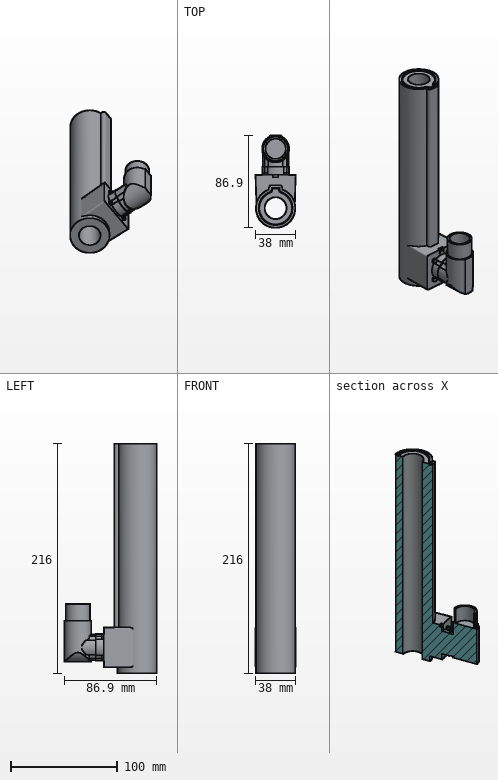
import cadquery as cq
import math

TUBE_LENGTH = 216.0
TUBE_RADIUS = 18.5
BORE_RADIUS = 10.2
CAP_HEIGHT = 6.5
KEY_TOP = 21.5
KEY_HALF_WIDTH = 6.3
KEY_CORNER = 2.5

WALL = 2.5
GROOVE_WIDTH = 0.6
GROOVE_DEPTH = 1.0

BLOCK_WIDTH = 38.0
BLOCK_HEIGHT = 37.8
BLOCK_BOTTOM = 5.6
BLOCK_BACK = 31.3
BLOCK_FRONT = 3.9
BLOCK_ROUND = 1.5
BLOCK_TOP = BLOCK_BOTTOM + BLOCK_HEIGHT
BLOCK_FRONT_HALF_WIDTH = math.sqrt(TUBE_RADIUS**2 - BLOCK_FRONT**2)

SLOT_WIDTH = 5.0
SLOT_LENGTH = 2.2
SLOT_DEPTH = 4.3

NECK_HEIGHT = BLOCK_BOTTOM + BLOCK_HEIGHT / 2
NECK_RADIUS = 12.3
COLLAR_RADIUS = 12.7
COLLAR_END = 39.0
ELBOW_Y = 55.7
ELBOW_RADIUS = 12.7
ELBOW_TOP = 49.7
ELBOW_UNDERSIDE_RADIUS = 13.5
PAD_HALF_WIDTH = 4.8
PAD_ROOT_HALF_WIDTH = 6.3
PAD_CHAMFER = 1.7
SPOUT_TOP = 65.5
SPOUT_RADIUS = 11.5
SPOUT_BORE_RADIUS = 9.5

SCREW_OFFSET = 10.2
SCREW_RADIUS = 2.2
SCREW_END = 33.0
COLLAR_NOTCH_RADIUS = 2.5
NECK_NOTCH_RADIUS = 3.5


def rod_along_y(radius, start, end, x=0.0, z=NECK_HEIGHT):
    """Cylinder parallel to Y between two Y positions."""
    return cq.Workplane("XZ", origin=(x, start, z)).circle(radius).extrude(start - end)


def keyed_rod(inset, bottom, top):
    """Round bar with the key rib, its whole outline offset inwards by the inset."""
    length = top - bottom
    rod = cq.Workplane("XY").workplane(offset=bottom).circle(TUBE_RADIUS).extrude(length)
    key = (
        cq.Workplane("XY", origin=(0, KEY_TOP / 2, bottom))
        .rect(2 * KEY_HALF_WIDTH, KEY_TOP)
        .extrude(length)
        .edges("|Z and >Y")
        .fillet(KEY_CORNER)
    )
    rod = rod.union(key)
    if inset > 0:
        rod = rod.faces("<Z").wires().toPending().offset2D(-inset).extrude(length, combine=False)
    return rod


def make_tube():
    cap = cq.Workplane("XY").circle(TUBE_RADIUS).extrude(CAP_HEIGHT)
    tube = cap.union(keyed_rod(0, CAP_HEIGHT, TUBE_LENGTH))
    groove_floor = TUBE_LENGTH - GROOVE_DEPTH
    groove = keyed_rod(WALL, groove_floor, TUBE_LENGTH).cut(
        keyed_rod(WALL + GROOVE_WIDTH, groove_floor, TUBE_LENGTH)
    )
    return tube.cut(groove)


def make_block():
    back_half_width = BLOCK_WIDTH / 2
    block = (
        cq.Workplane("XY", origin=(0, 0, BLOCK_BOTTOM))
        .moveTo(-back_half_width, BLOCK_BACK)
        .lineTo(-BLOCK_FRONT_HALF_WIDTH, BLOCK_FRONT)
        .lineTo(BLOCK_FRONT_HALF_WIDTH, BLOCK_FRONT)
        .lineTo(back_half_width, BLOCK_BACK)
        .close()
        .extrude(BLOCK_HEIGHT)
    )
    block = block.faces("<Z or >Z").edges("not |X").fillet(BLOCK_ROUND)

    slot_front = BLOCK_BACK - SLOT_LENGTH
    slot = cq.Workplane("XY", origin=(0, slot_front + SLOT_LENGTH / 2, BLOCK_TOP - SLOT_DEPTH / 2)).box(
        SLOT_WIDTH, SLOT_LENGTH, SLOT_DEPTH
    )
    floor_radius = SLOT_WIDTH / 2
    floor = rod_along_y(floor_radius, slot_front, BLOCK_BACK, z=BLOCK_TOP - SLOT_DEPTH)
    return block.cut(slot.cut(floor))


def make_neck():
    collar = rod_along_y(COLLAR_RADIUS, BLOCK_BACK, COLLAR_END)
    neck = rod_along_y(NECK_RADIUS, COLLAR_END, ELBOW_Y)
    screws = []
    for side in (-1, 1):
        for level in (-1, 1):
            place = {"x": side * SCREW_OFFSET, "z": NECK_HEIGHT + level * SCREW_OFFSET}
            collar = collar.cut(rod_along_y(COLLAR_NOTCH_RADIUS, BLOCK_BACK, COLLAR_END, **place))
            neck = neck.cut(rod_along_y(NECK_NOTCH_RADIUS, COLLAR_END, ELBOW_Y, **place))
            screws.append(rod_along_y(SCREW_RADIUS, BLOCK_BACK, SCREW_END, **place))
    neck = neck.union(collar)
    for screw in screws:
        neck = neck.union(screw)
    return neck


def make_elbow():
    base = cq.Workplane("XY", origin=(0, ELBOW_Y, 0))
    body = base.circle(ELBOW_RADIUS).extrude(ELBOW_TOP)
    pad = (
        base.moveTo(-PAD_ROOT_HALF_WIDTH, 0)
        .lineTo(-PAD_ROOT_HALF_WIDTH, ELBOW_RADIUS - PAD_CHAMFER)
        .lineTo(-PAD_HALF_WIDTH, ELBOW_RADIUS)
        .lineTo(PAD_HALF_WIDTH, ELBOW_RADIUS)
        .lineTo(PAD_ROOT_HALF_WIDTH, ELBOW_RADIUS - PAD_CHAMFER)
        .lineTo(PAD_ROOT_HALF_WIDTH, 0)
        .close()
        .extrude(ELBOW_TOP)
    )
    reach = 2 * ELBOW_RADIUS
    underside = rod_along_y(ELBOW_UNDERSIDE_RADIUS, ELBOW_Y - reach, ELBOW_Y + reach)
    upper = base.workplane(offset=NECK_HEIGHT).rect(2 * reach, 2 * reach).extrude(ELBOW_TOP - NECK_HEIGHT)
    body = body.union(pad).intersect(underside.union(upper))

    rim = base.workplane(offset=ELBOW_TOP)
    spout_length = SPOUT_TOP - ELBOW_TOP
    spout = rim.circle(SPOUT_RADIUS).circle(SPOUT_BORE_RADIUS).extrude(spout_length)
    return body.union(spout)


bore = cq.Workplane("XY").circle(BORE_RADIUS).extrude(TUBE_LENGTH)
result = make_tube().union(make_block()).union(make_neck()).union(make_elbow()).cut(bore)